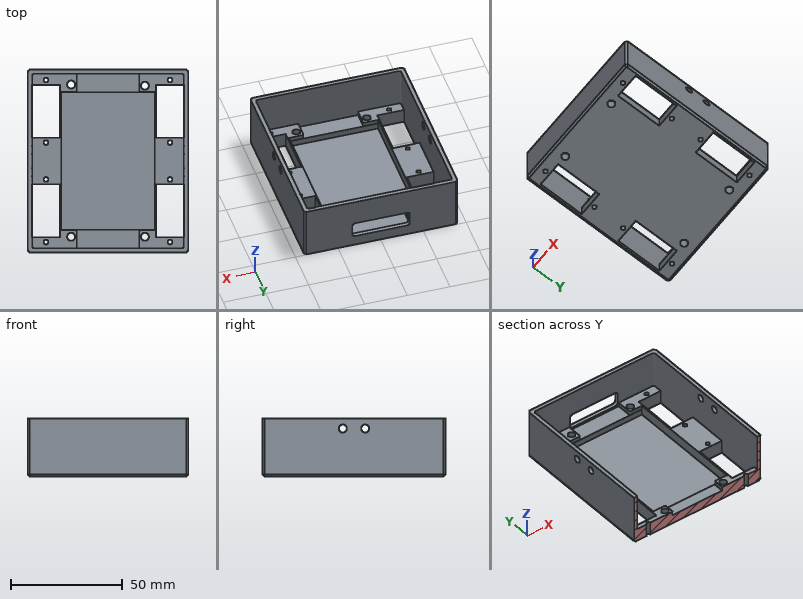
import cadquery as cq

length_x = 72.0
length_y = 82.0
height = 26.0
wall = 2.0
outer_chamfer = 1.0
inner_corner_radius = 1.0
inner_x = length_x - 2 * wall
inner_y = length_y - 2 * wall

deck_level = 7.0
recess_level = 5.0
pocket_floor = 2.0

pocket_x = 41.7
pocket_y = 61.7
recess_x = 28.0

pad_setback = 0.1
pad_corner_radius = 0.5

window_x = 12.5
window_y = 23.5
window_center_x = inner_x / 2 - window_x / 2
window_center_y = 22.25
screw_spacing = 28.0
screw_diameter = 2.0

mount_diameter = 3.5
mount_points = [(-16.5, 34.2), (16.5, 33.7), (-16.5, -33.9), (16.5, -33.9)]

side_hole_diameter = 3.5
side_hole_spacing = 10.0
side_hole_level = 21.5

slot_width = 27.0
slot_bottom = 6.0
slot_height = 7.5
slot_corner_radius = 1.5


def box_between(size_x, size_y, bottom, top):
    """Upright block centred on the Z axis between two levels."""
    return cq.Workplane("XY").workplane(offset=bottom).rect(size_x, size_y).extrude(top - bottom)


def make_shell():
    """Chamfered tray whose floor is a thick deck."""
    body = box_between(length_x, length_y, 0, height)
    body = body.edges("|Z").chamfer(outer_chamfer).faces("<Z").chamfer(outer_chamfer)
    cavity = box_between(inner_x, inner_y, deck_level, height)
    return body.cut(cavity.edges("|Z").fillet(inner_corner_radius))


def make_floor_recesses():
    """Central pocket plus the strip at each end, rounding the pad corners they leave."""
    pad_face_y = pocket_y / 2 + pad_setback
    pocket = box_between(pocket_x, 2 * pad_face_y, recess_level, deck_level)
    strip = box_between(recess_x, inner_y, recess_level, deck_level)
    corner_x = recess_x / 2
    pad_corners = cq.selectors.BoxSelector(
        (-corner_x - pad_corner_radius, -pad_face_y - pad_corner_radius, 0),
        (corner_x + pad_corner_radius, pad_face_y + pad_corner_radius, height),
    )
    upper = pocket.union(strip).edges("|Z").edges(pad_corners).fillet(pad_corner_radius)
    return upper.union(box_between(pocket_x, pocket_y, pocket_floor, recess_level))


def make_windows():
    """Window openings and their screw holes, through the deck."""
    centers = [(sx * window_center_x, sy * window_center_y) for sx in (-1, 1) for sy in (-1, 1)]
    screws = [(x, y + s * screw_spacing / 2) for x, y in centers for s in (-1, 1)]
    base = cq.Workplane("XY")
    openings = base.pushPoints(centers).rect(window_x, window_y).extrude(deck_level)
    holes = base.pushPoints(screws).circle(screw_diameter / 2).extrude(deck_level)
    return openings.union(holes)


def make_mount_holes():
    """Board mounting holes through the pads."""
    return cq.Workplane("XY").pushPoints(mount_points).circle(mount_diameter / 2).extrude(deck_level)


def make_side_holes():
    """Pair of holes along X through both side walls."""
    offset = side_hole_spacing / 2
    points = [(-offset, side_hole_level), (offset, side_hole_level)]
    plane = cq.Workplane("YZ").pushPoints(points)
    return plane.circle(side_hole_diameter / 2).extrude(length_x / 2, both=True)


def make_wall_slot():
    """Rounded slot through the +Y wall."""
    slot = cq.Workplane("XY").box(slot_width, wall, slot_height).edges("|Y").fillet(slot_corner_radius)
    return slot.translate((0, (length_y - wall) / 2, slot_bottom + slot_height / 2))


result = (
    make_shell()
    .cut(make_floor_recesses())
    .cut(make_windows())
    .cut(make_mount_holes())
    .cut(make_side_holes())
    .cut(make_wall_slot())
)